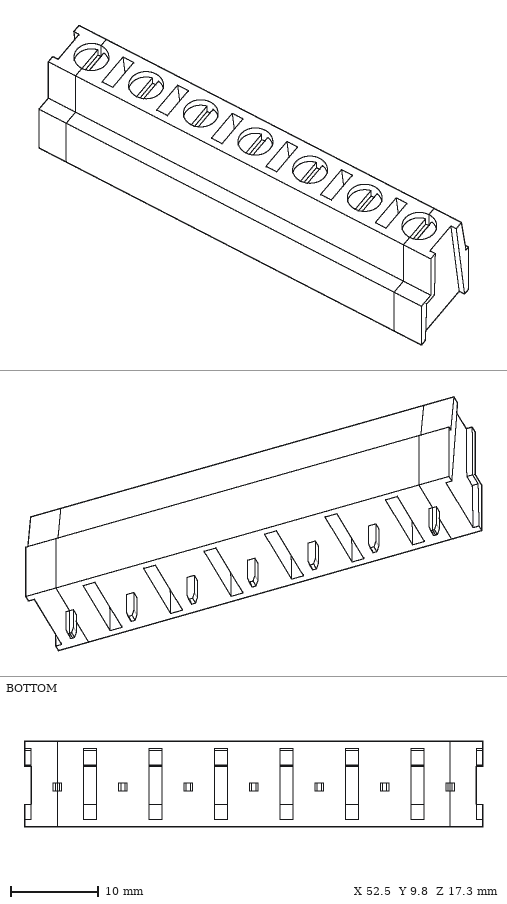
import cadquery as cq

length = 52.5
pole_count = 7
pitch = length / pole_count

depth = 9.8
back_y = 4.55
front_y = back_y - depth
overall_height = 17.3
height = 13.8
back_ledge_z = 7.75
back_ledge_width = 0.5
top_back_y = back_y - 1.45
front_ledge_z = 7.15
front_ledge_width = 1.95
upper_front_y = front_y + front_ledge_width

pocket_depth = 0.75
pocket_top_back_y = back_y - 2.55
pocket_bottom_back_y = back_y - 0.85
pocket_top_front_y = upper_front_y + 0.95
pocket_corner_front_y = upper_front_y + 0.8
pocket_step_z = 6.4
pocket_step_front_y = front_y + 1.1
pocket_bottom_front_y = front_y + 0.85

screw_diameter = 4.0
screw_recess = 1.0
driver_slot_width = 0.85
driver_slot_depth = 1.0

pin_length = overall_height - height
pin_width = 0.95
pin_thickness = 0.9
pin_tip_width = 0.45
pin_taper_length = 0.8

pole_xs = [(i - (pole_count - 1) / 2) * pitch for i in range(pole_count)]


def make_housing():
    outline = [
        (front_y, 0),
        (back_y, 0),
        (back_y, back_ledge_z),
        (back_y - back_ledge_width, back_ledge_z),
        (top_back_y, height),
        (upper_front_y, height),
        (upper_front_y, front_ledge_z),
        (front_y, front_ledge_z),
    ]
    return cq.Workplane("YZ").polyline(outline).close().extrude(length / 2, both=True)


def make_pocket(boundary_x):
    """Pocket pair straddling a pole boundary, open at the top and bottom."""
    outline = [
        (pocket_bottom_front_y, 0),
        (pocket_bottom_back_y, 0),
        (pocket_top_back_y, height),
        (pocket_top_front_y, height),
        (pocket_corner_front_y, pocket_step_z),
        (pocket_step_front_y, pocket_step_z),
    ]
    pocket = cq.Workplane("YZ").polyline(outline).close().extrude(pocket_depth, both=True)
    return pocket.translate((boundary_x, 0, 0))


def make_screw_recess(pole_x):
    """Round recess down to the screw head, with the driver slot across the head."""
    head_z = height - screw_recess
    slot_floor = cq.Workplane("XY", origin=(pole_x, 0, head_z - driver_slot_depth))
    bore = slot_floor.circle(screw_diameter / 2).extrude(driver_slot_depth + screw_recess)
    slot = slot_floor.rect(driver_slot_width, screw_diameter).extrude(driver_slot_depth)
    above_head = (
        cq.Workplane("XY", origin=(pole_x, 0, head_z))
        .circle(screw_diameter / 2)
        .extrude(screw_recess)
    )
    return above_head.union(slot.intersect(bore))


def make_pin(pole_x):
    """Flat pin whose tip tapers across its width."""
    outline = [
        (-pin_width / 2, 0),
        (-pin_width / 2, pin_taper_length - pin_length),
        (-pin_tip_width / 2, -pin_length),
        (pin_tip_width / 2, -pin_length),
        (pin_width / 2, pin_taper_length - pin_length),
        (pin_width / 2, 0),
    ]
    pin = cq.Workplane("XZ").polyline(outline).close().extrude(pin_thickness / 2, both=True)
    return pin.translate((pole_x, 0, 0))


def make_strip():
    strip = make_housing()
    for i in range(pole_count + 1):
        strip = strip.cut(make_pocket(i * pitch - length / 2))
    for pole_x in pole_xs:
        strip = strip.cut(make_screw_recess(pole_x)).union(make_pin(pole_x))
    return strip


def make_section(strip, start_x, end_x):
    """Part of the strip between two planes across its length."""
    corner = cq.Workplane("XY", origin=(start_x, front_y, -pin_length))
    span = corner.box(end_x - start_x, depth, overall_height, centered=False)
    return strip.intersect(span)


full_strip = make_strip()
left_end = make_section(full_strip, -length / 2, pole_xs[0])
middle = make_section(full_strip, pole_xs[0], pole_xs[-1])
right_end = make_section(full_strip, pole_xs[-1], length / 2)

result = cq.Compound.makeCompound([left_end.val(), middle.val(), right_end.val()])